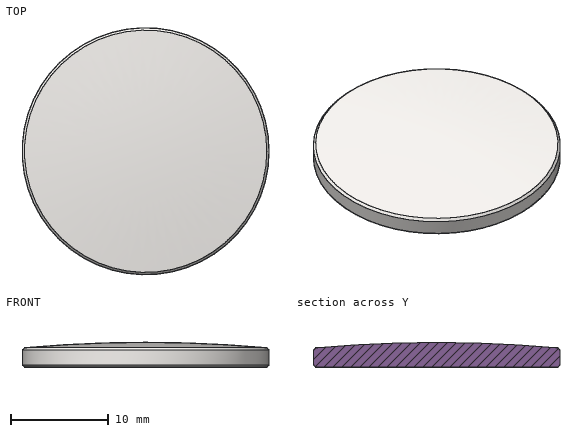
import cadquery as cq
import math

diameter = 25.4
center_thickness = 2.58
dome_height = 0.56
bevel = 0.25

radius = diameter / 2
face_radius = radius - bevel
rim_height = center_thickness - dome_height

sphere_radius = (face_radius**2 + dome_height**2) / (2 * dome_height)

mid_radius = face_radius / 2
sag_at_mid = sphere_radius - math.sqrt(sphere_radius**2 - mid_radius**2)
mid_height = center_thickness - sag_at_mid


def lens():
    """Half section in the XZ plane, turned a full circle about Z."""
    half_section = (
        cq.Workplane("XZ")
        .moveTo(0, 0)
        .lineTo(face_radius, 0)
        .lineTo(radius, bevel)
        .lineTo(radius, rim_height - bevel)
        .lineTo(face_radius, rim_height)
        .threePointArc((mid_radius, mid_height), (0, center_thickness))
        .close()
    )
    return half_section.revolve(360, (0, 0, 0), (0, 1, 0))


result = lens()